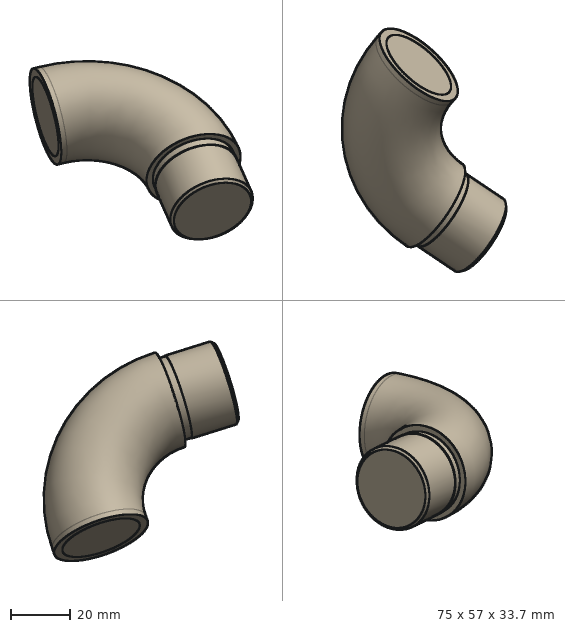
import cadquery as cq

overall_length = 75.0
elbow_diameter = 33.7
core_diameter = 27.75
bend_radius = 38.1
mouth_length = 2.0
neck_diameter = 29.2
neck_length = 3.0
spigot_diameter = 29.55
tip_chamfer = 1.0

connector_length = overall_length - bend_radius - elbow_diameter / 2
spigot_length = connector_length - neck_length


def bent_rod(diameter):
    """Round rod along the straight mouth and the quarter bend."""
    mouth = (
        cq.Workplane("XZ", origin=(-bend_radius, 0, 0))
        .circle(diameter / 2)
        .extrude(mouth_length)
    )
    bend = (
        cq.Workplane("XZ", origin=(-bend_radius, 0, 0))
        .circle(diameter / 2)
        .revolve(90, (bend_radius, 0, 0), (bend_radius, -1, 0))
    )
    return mouth.union(bend)


def straight_rod(diameter, start, length):
    """Round rod along +X on the axis of the spigot end."""
    return (
        cq.Workplane("YZ", origin=(start, bend_radius, 0))
        .circle(diameter / 2)
        .extrude(length)
    )


def make_elbow():
    """Tube elbow with an even wall."""
    return bent_rod(elbow_diameter).cut(bent_rod(core_diameter))


def make_insert():
    """Core that fills the elbow and ends in a necked, chamfered spigot."""
    neck = straight_rod(neck_diameter, 0, neck_length)
    spigot = straight_rod(spigot_diameter, neck_length, spigot_length)
    spigot = spigot.faces(">X").chamfer(tip_chamfer)
    return bent_rod(core_diameter).union(neck).union(spigot)


elbow = make_elbow()
insert = make_insert()

result = cq.Compound.makeCompound([elbow.solids().val(), insert.solids().val()])